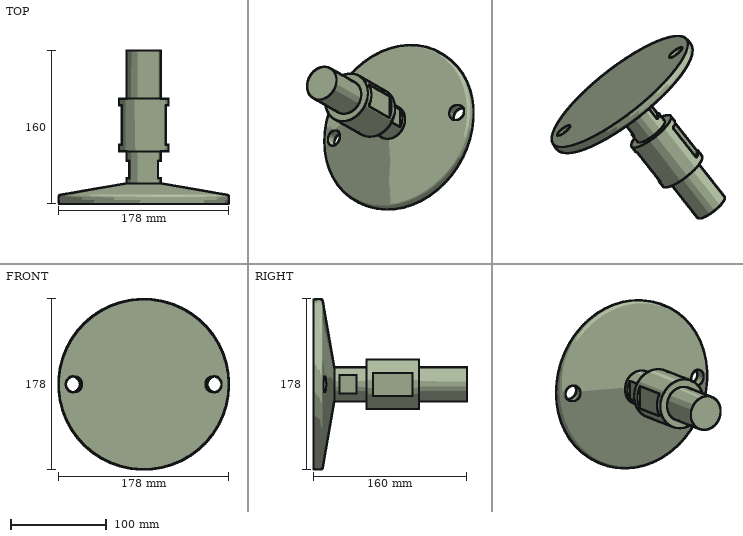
import cadquery as cq
import math

base_diameter = 178.0
base_radius = base_diameter / 2
floor_edge_inset = 0.5
rim_band_height = 4.0
plate_fillet = 3.2
cone_foot_height = 9.5
cone_top_height = 21.7

spindle_diameter = 36.0
spindle_radius = spindle_diameter / 2
overall_length = 160.0
spindle_flat_width = 30.3
spindle_flat_start = 27.0
spindle_flat_length = 18.0

sleeve_diameter = 52.0
sleeve_start = 55.0
sleeve_length = 55.0
sleeve_flat_width = 46.1
sleeve_flat_length = 41.0
sleeve_flat_start = sleeve_start + (sleeve_length - sleeve_flat_length) / 2

hole_diameter = 16.5
hole_offset = 72.6
hole_reach = 35.6
cone_slope = math.atan2(cone_top_height - cone_foot_height, base_radius - spindle_radius)


def cylinder_along_y(diameter, start, length):
    plane = cq.Plane(origin=(0, start, 0), xDir=(1, 0, 0), normal=(0, 1, 0))
    return cq.Workplane(plane).circle(diameter / 2).extrude(length)


def cut_side_flats(body, body_diameter, flat_width, start, length):
    """Cut two flats facing -X and +X, flat_width apart."""
    depth = (body_diameter - flat_width) / 2
    for side in (-1, 1):
        cutter = cq.Workplane("XY").box(depth, length, body_diameter).translate(
            (side * (flat_width + depth) / 2, start + length / 2, 0)
        )
        body = body.cut(cutter)
    return body


def make_plate():
    """Revolved cone with a rounded rim; the round is tangent to the rim and the cone."""
    round_turn = math.pi / 2 - cone_slope
    tangent_length = plate_fillet * math.tan(round_turn / 2)
    round_start = (base_radius, cone_foot_height - tangent_length)
    round_end = (
        base_radius - tangent_length * math.cos(cone_slope),
        cone_foot_height + tangent_length * math.sin(cone_slope),
    )
    profile = (
        cq.Workplane("XY")
        .lineTo(base_radius - floor_edge_inset, 0)
        .lineTo(base_radius, rim_band_height)
        .lineTo(*round_start)
        .tangentArcPoint(round_end, relative=False)
        .lineTo(spindle_radius, cone_top_height)
        .lineTo(0, cone_top_height)
        .close()
    )
    return profile.revolve(360, (0, 0, 0), (0, 1, 0))


def drill_bolt_holes(body):
    for side in (-1, 1):
        axis = cq.Vector(side * math.sin(cone_slope), math.cos(cone_slope), 0)
        start = cq.Vector(side * hole_offset, 0, 0) - axis * hole_reach
        drill = cq.Solid.makeCylinder(hole_diameter / 2, 2 * hole_reach, start, axis)
        body = body.cut(drill)
    return body


def make_foot():
    """Base plate and spindle in one piece."""
    spindle = cylinder_along_y(spindle_diameter, cone_top_height, overall_length - cone_top_height)
    spindle = cut_side_flats(
        spindle, spindle_diameter, spindle_flat_width, spindle_flat_start, spindle_flat_length
    )
    return drill_bolt_holes(make_plate()).union(spindle)


def make_sleeve():
    """Sleeve with wrench flats, closely fitting the spindle."""
    sleeve = cylinder_along_y(sleeve_diameter, sleeve_start, sleeve_length)
    bore = cylinder_along_y(spindle_diameter, sleeve_start, sleeve_length)
    return cut_side_flats(
        sleeve.cut(bore), sleeve_diameter, sleeve_flat_width, sleeve_flat_start, sleeve_flat_length
    )


foot = make_foot()
sleeve = make_sleeve()

result = cq.Compound.makeCompound([foot.val(), sleeve.val()])